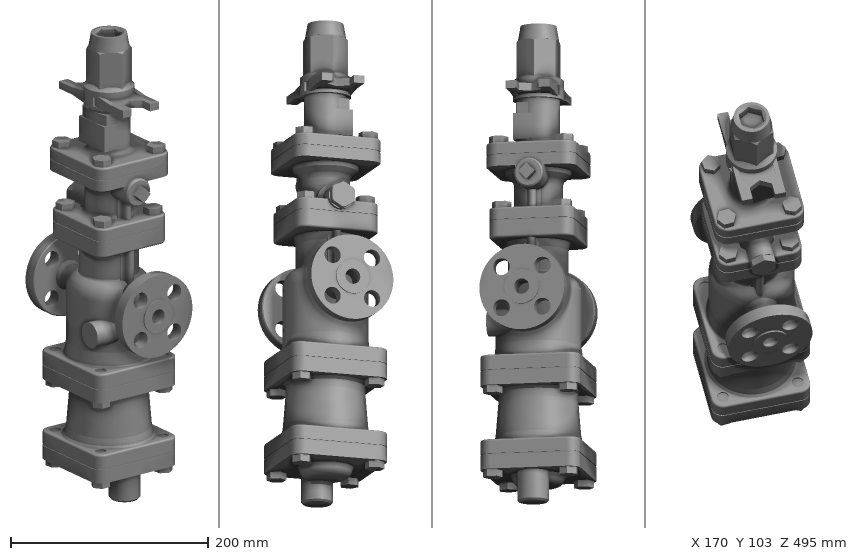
import cadquery as cq
import math

OVERALL_HEIGHT = 495.0
OVERALL_LENGTH = 170.0

JOINT_GAP = 1.0
JOINT_INSET = 1.0
FLANGE_EDGE = 2.0

CAP_SIDE, CAP_BOTTOM, CAP_SPLIT, CAP_TOP = 93.0, 344.5, 356.5, 369.5
CAP_CORNER = 13.5
CAP_BOLT = 34.0
PILOT_SIDE, PILOT_BOTTOM, PILOT_SPLIT, PILOT_TOP = 88.0, 271.5, 289.5, 302.5
PILOT_CORNER = 12.0
PILOT_BOLT = 31.5
BASE_SIDE = 103.0
BASE_CORNER = 12.0
BASE_BOLT = 39.0
BODY_BOTTOM, BODY_SPLIT, BODY_TOP = 118.5, 133.5, 149.5
TRAP_BOTTOM, TRAP_SPLIT, TRAP_TOP = 31.5, 47.0, 62.5

BOLT_HEAD_FLATS = 17.5
BOLT_HEAD_HEIGHT = 7.0
BOLT_HEAD_TURN = 5.0
BOLT_END_DIAMETER = 12.0
BOLT_END_DEPTH = 1.5

CAP_NECK_RADIUS = 24.8
PILOT_NECK_RADIUS = 30.5
BODY_RADIUS = 43.5
BODY_FOOT_RADIUS = 45.5
DOME_BOTTOM, DOME_TOP = 219.5, 236.5
ROOT_FILLET = 2.0
CAP_NECK_FOOT = 4.0
CAP_FLARE_BOTTOM = 329.5
CAP_CONE_BOTTOM_RADIUS, CAP_CONE_BOTTOM = 26.5, 335.0
CAP_CONE_TOP_RADIUS, CAP_CONE_TOP = 32.5, 340.5
CAP_FLARE_RADIUS = 34.0
PILOT_NECK_TOP = 263.5
BODY_FOOT_TOP = 164.5
TRAP_ROOT_RADIUS, TRAP_FOOT_BOTTOM, TRAP_FOOT_TOP = 48.0, 64.5, 72.0
TRAP_MIDDLE_RADIUS, TRAP_MIDDLE = 42.0, 89.0
TRAP_WAIST_RADIUS, TRAP_WAIST = 40.5, 107.5
TRAP_CHAMFER = 3.0
COVER_RADIUS, COVER_LIP_RADIUS, COVER_LIP = 28.5, 26.5, 27.5
COVER_KNEE_RADIUS, COVER_KNEE = 24.0, 23.0
COVER_FLOOR_RADIUS, COVER_FLOOR = 18.0, 20.5

PIPE_Z = 212.5
PIPE_FLANGE_DIAMETER = 88.0
PIPE_FLANGE_OUTER = 83.0
PIPE_FLANGE_INNER = 69.5
PIPE_FLANGE_EDGE = 1.0
RAISED_FACE_DIAMETER = 35.0
PIPE_BOLT_CIRCLE = 60.0
PIPE_BOLT_HOLE = 17.5
PIPE_BOLT_COUNT = 4
PIPE_BOLT_TURN = 45.0
PIPE_BORE = 16.0
PIPE_BORE_DEPTH = 24.8
PIPE_RADIUS = 13.5
PIPE_HUB_RADIUS = 16.0
PIPE_HUB_LENGTH = 4.5
INLET_BOSS_RADIUS = 14.0
INLET_BOSS_END = 51.5
INLET_FLARE_RADIUS = 17.0
INLET_FLARE_END = 46.5
INLET_FLARE_LENGTH = 6.0
ELBOW_START = 65.0
ELBOW_BEND_RADIUS = 21.5
ELBOW_ANGLE = 45.0
ELBOW_REACH = 7.5

SPINDLE_RADIUS = 22.0
SPINDLE_BLOCK_BOTTOM = 375.5
SPINDLE_BLOCK_TOP = 403.0
SPINDLE_REBATE_TOP = 414.5
SPINDLE_REBATE_DEPTH = 18.5
SPINDLE_REBATE_HALF_WIDTH = 21.0
SPINDLE_FOOT = 5.0
COLLAR_BOTTOM, COLLAR_LOWER_TOP, COLLAR_UPPER_BOTTOM, COLLAR_TOP = 418.5, 421.5, 431.5, 438.5
COLLAR_DIAMETER = 52.0
COLLAR_CORE_RADIUS = 23.0
COLLAR_CONE_TOP = 442.5
NUT_FLATS = 40.5
NUT_TOP = 479.5
NUT_BEVEL_HEIGHT = 2.0
CROWN_BOTTOM_DIAMETER = 42.0
CROWN_TOP_DIAMETER = 36.5
SOCKET_FLATS = 24.0
SOCKET_DEPTH = 11.5
SOCKET_MOUTH_RADIUS = 15.5
SOCKET_MOUTH_DEPTH = 2.0

HANDLE_LENGTH, HANDLE_WIDTH = 110.0, 45.5
HANDLE_BOTTOM, HANDLE_TOP = 422.5, 430.5
WRENCH_FLATS = 23.5
WRENCH_VERTEX = 34.5
RIB_START, RIB_END = 7.0, 32.0
RIB_RISE = 3.5
RIB_WIDTH = 5.0

PORT_DIAMETER = 26.0
PORT_Z, PORT_END = 305.0, 56.5
PORT_HEAD_FLATS = 24.0
PORT_HEAD_LENGTH = 8.0
PORT_HEAD_BEVEL = 1.0
PORT_FLARE_DIAMETER = 35.0
PLUG_BOSS_DIAMETER = 29.5
PLUG_Z, PLUG_BOSS_END, PLUG_END = 336.0, 51.5, 60.5
PLUG_SQUARE = 12.0
PLUG_BOSS_EDGE = 1.5
FRONT_BOSS_DIAMETER = 27.0
FRONT_BOSS_X, FRONT_BOSS_Z, FRONT_BOSS_END = 29.0, 185.5, 45.5
PASSAGE_NOSE = 4.0
PASSAGE_NECK = 1.5
PASSAGE_SPREAD = 4.0
PASSAGE_END = 40.0
UPPER_PASSAGE_END = 35.0

DRAIN_DIAMETER = 32.0
DRAIN_X = 26.5
DRAIN_EDGE = 2.0
DRAIN_WELD = 3.0


def disc(radius, bottom, top):
    return cq.Workplane("XY").workplane(offset=bottom).circle(radius).extrude(top - bottom)


def across_corners(flats):
    """Corner-to-corner size of a regular hexagon from its size across flats."""
    return 2 * flats / math.sqrt(3)


def hexagon(flats, bottom, top):
    """Hexagonal prism with two corners on the X axis."""
    return cq.Workplane("XY").workplane(offset=bottom).polygon(6, across_corners(flats)).extrude(top - bottom)


def box(x_range, y_range, z_range):
    spans = [high - low for low, high in (x_range, y_range, z_range)]
    return cq.Workplane("XY").box(*spans, centered=False).translate((x_range[0], y_range[0], z_range[0]))


def rod_along_x(radius, start, end, z):
    return cq.Workplane("YZ", origin=(start, 0, z)).circle(radius).extrude(end - start)


def turned(outline):
    """Revolve a closed (radius, z) outline about the Z axis."""
    return outline.close().revolve(360, (0, 0, 0), (0, 1, 0))


def cone(bottom_radius, top_radius, bottom, top):
    points = [(0, bottom), (bottom_radius, bottom), (top_radius, top), (0, top)]
    return turned(cq.Workplane("XZ").polyline(points))


def square_plate(side, corner, bottom, top):
    plate = cq.Workplane("XY").workplane(offset=bottom).rect(side, side).extrude(top - bottom)
    return plate.edges("|Z").fillet(corner)


def flange_joint(side, corner, bottom, split, top):
    """Two square flanges clamped on a thin gasket."""
    lower = square_plate(side, corner, bottom, split - JOINT_GAP / 2)
    upper = square_plate(side, corner, split + JOINT_GAP / 2, top).faces(">Z").edges().fillet(FLANGE_EDGE)
    gasket_side = side - 2 * JOINT_INSET
    gasket = square_plate(gasket_side, corner - JOINT_INSET, split - JOINT_GAP / 2, split + JOINT_GAP / 2)
    return lower.union(gasket).union(upper)


def four_around(seed):
    """Copies of a seed at quarter turns about the Z axis."""
    pattern = seed
    for quarter in range(1, 4):
        pattern = pattern.union(seed.rotate((0, 0, 0), (0, 0, 1), 90 * quarter))
    return pattern


def bolt_heads(offset, bottom):
    head = hexagon(BOLT_HEAD_FLATS, bottom, bottom + BOLT_HEAD_HEIGHT)
    head = head.rotate((0, 0, 0), (0, 0, 1), BOLT_HEAD_TURN)
    return four_around(head.translate((-offset, -offset, 0)))


def bolt_end_recesses(offset, top):
    recess = disc(BOLT_END_DIAMETER / 2, top - BOLT_END_DEPTH, top)
    return four_around(recess.translate((offset, offset, 0)))


def flanges():
    joints = flange_joint(CAP_SIDE, CAP_CORNER, CAP_BOTTOM, CAP_SPLIT, CAP_TOP)
    pilot = flange_joint(PILOT_SIDE, PILOT_CORNER, PILOT_BOTTOM, PILOT_SPLIT, PILOT_TOP)
    joints = joints.union(pilot.faces("<Z").edges().fillet(FLANGE_EDGE))
    joints = joints.union(bolt_heads(CAP_BOLT, CAP_TOP)).union(bolt_heads(PILOT_BOLT, PILOT_TOP))
    for bottom, split, top in ((BODY_BOTTOM, BODY_SPLIT, BODY_TOP), (TRAP_BOTTOM, TRAP_SPLIT, TRAP_TOP)):
        joint = flange_joint(BASE_SIDE, BASE_CORNER, bottom, split, top)
        joint = joint.cut(bolt_end_recesses(BASE_BOLT, top))
        joints = joints.union(joint).union(bolt_heads(BASE_BOLT, bottom - BOLT_HEAD_HEIGHT))
    return joints


def cap_neck():
    """Neck between the two upper joints, flaring out below the cap and at its foot."""
    foot = CAP_NECK_FOOT
    outline = (
        cq.Workplane("XZ")
        .moveTo(0, PILOT_TOP)
        .lineTo(CAP_NECK_RADIUS + foot, PILOT_TOP)
        .radiusArc((CAP_NECK_RADIUS, PILOT_TOP + foot), foot)
        .lineTo(CAP_NECK_RADIUS, CAP_FLARE_BOTTOM)
        .tangentArcPoint((CAP_CONE_BOTTOM_RADIUS, CAP_CONE_BOTTOM), relative=False)
        .lineTo(CAP_CONE_TOP_RADIUS, CAP_CONE_TOP)
        .lineTo(CAP_FLARE_RADIUS, CAP_BOTTOM)
        .lineTo(0, CAP_BOTTOM)
    )
    return turned(outline)


def main_body():
    """Domed body with a straight neck above and a slightly flared foot."""
    fillet = ROOT_FILLET
    dome_edge_radius = PILOT_NECK_RADIUS + fillet
    dome_width = BODY_RADIUS - dome_edge_radius
    dome_height = DOME_TOP - DOME_BOTTOM
    dome_radius = (dome_width**2 + dome_height**2) / (2 * dome_width)
    outline = (
        cq.Workplane("XZ")
        .moveTo(0, BODY_TOP)
        .lineTo(BODY_FOOT_RADIUS + fillet, BODY_TOP)
        .radiusArc((BODY_FOOT_RADIUS, BODY_TOP + fillet), fillet)
        .lineTo(BODY_RADIUS, BODY_FOOT_TOP)
        .lineTo(BODY_RADIUS, DOME_BOTTOM)
        .radiusArc((dome_edge_radius, DOME_TOP), -dome_radius)
        .radiusArc((PILOT_NECK_RADIUS, DOME_TOP + fillet), fillet)
        .lineTo(PILOT_NECK_RADIUS, PILOT_NECK_TOP)
        .lineTo(PILOT_NECK_RADIUS + fillet, PILOT_BOTTOM)
        .lineTo(0, PILOT_BOTTOM)
    )
    return turned(outline)


def trap_body():
    """Waisted barrel between the two lower joints."""
    outline = (
        cq.Workplane("XZ")
        .moveTo(0, TRAP_TOP)
        .lineTo(TRAP_ROOT_RADIUS, TRAP_TOP)
        .lineTo(BODY_FOOT_RADIUS, TRAP_FOOT_BOTTOM)
        .lineTo(BODY_RADIUS, TRAP_FOOT_TOP)
        .threePointArc((TRAP_MIDDLE_RADIUS, TRAP_MIDDLE), (TRAP_WAIST_RADIUS, TRAP_WAIST))
        .lineTo(TRAP_WAIST_RADIUS, BODY_BOTTOM - TRAP_CHAMFER)
        .lineTo(TRAP_WAIST_RADIUS + TRAP_CHAMFER, BODY_BOTTOM)
        .lineTo(0, BODY_BOTTOM)
    )
    return turned(outline)


def bottom_cover():
    """Shallow bowl under the lowest joint with an offset drain pipe."""
    outline = (
        cq.Workplane("XZ")
        .moveTo(0, TRAP_BOTTOM)
        .lineTo(COVER_RADIUS, TRAP_BOTTOM)
        .lineTo(COVER_LIP_RADIUS, COVER_LIP)
        .threePointArc((COVER_KNEE_RADIUS, COVER_KNEE), (COVER_FLOOR_RADIUS, COVER_FLOOR))
        .lineTo(0, COVER_FLOOR)
    )
    drain_radius = DRAIN_DIAMETER / 2
    drain = disc(drain_radius, 0, TRAP_BOTTOM).faces("<Z").edges().chamfer(DRAIN_EDGE)
    weld_bottom = COVER_FLOOR - DRAIN_WELD
    weld = cone(drain_radius, drain_radius + DRAIN_WELD, weld_bottom, COVER_FLOOR).translate((DRAIN_X, 0, 0))
    weld = weld.intersect(disc(COVER_FLOOR_RADIUS, weld_bottom, COVER_FLOOR))
    return turned(outline).union(drain.translate((DRAIN_X, 0, 0))).union(weld)


def spindle():
    """Round spindle whose front half is squared off, with a bowed rebate above the square."""
    foot = (
        cq.Workplane("XZ")
        .moveTo(0, CAP_TOP)
        .lineTo(SPINDLE_RADIUS + SPINDLE_FOOT, CAP_TOP)
        .radiusArc((SPINDLE_RADIUS, CAP_TOP + SPINDLE_FOOT), SPINDLE_FOOT)
        .lineTo(0, CAP_TOP + SPINDLE_FOOT)
    )
    across = (-SPINDLE_RADIUS, SPINDLE_RADIUS)
    block = box(across, (-SPINDLE_RADIUS, 0), (SPINDLE_BLOCK_BOTTOM, SPINDLE_BLOCK_TOP))
    half_width = SPINDLE_REBATE_HALF_WIDTH
    rebate = (
        cq.Workplane("XY")
        .workplane(offset=SPINDLE_BLOCK_TOP)
        .moveTo(-half_width, 0)
        .lineTo(-half_width, -SPINDLE_REBATE_DEPTH)
        .threePointArc((0, -SPINDLE_RADIUS), (half_width, -SPINDLE_REBATE_DEPTH))
        .lineTo(half_width, 0)
        .close()
        .extrude(SPINDLE_REBATE_TOP - SPINDLE_BLOCK_TOP)
    )
    shaft = disc(SPINDLE_RADIUS, CAP_TOP, COLLAR_BOTTOM)
    return shaft.union(turned(foot)).union(block).union(rebate)


def adjusting_nut():
    """Hex nut on a coned double collar, with a tapered crown and a hex socket."""
    collar_radius = COLLAR_DIAMETER / 2
    nut = disc(collar_radius, COLLAR_BOTTOM, COLLAR_LOWER_TOP)
    nut = nut.union(disc(COLLAR_CORE_RADIUS, COLLAR_LOWER_TOP, COLLAR_UPPER_BOTTOM))
    nut = nut.union(disc(collar_radius, COLLAR_UPPER_BOTTOM, COLLAR_TOP))
    nut = nut.union(cone(collar_radius, NUT_FLATS / 2, COLLAR_TOP, COLLAR_CONE_TOP))
    corner_radius = across_corners(NUT_FLATS) / 2
    bevel = cone(corner_radius, CROWN_BOTTOM_DIAMETER / 2, NUT_TOP - NUT_BEVEL_HEIGHT, NUT_TOP)
    bevel = bevel.union(disc(corner_radius, COLLAR_TOP, NUT_TOP - NUT_BEVEL_HEIGHT))
    nut = nut.union(hexagon(NUT_FLATS, COLLAR_TOP, NUT_TOP).intersect(bevel))
    nut = nut.union(cone(CROWN_BOTTOM_DIAMETER / 2, CROWN_TOP_DIAMETER / 2, NUT_TOP, OVERALL_HEIGHT))
    mouth_bottom = OVERALL_HEIGHT - SOCKET_MOUTH_DEPTH
    nut = nut.cut(cone(SOCKET_FLATS / 2, SOCKET_MOUTH_RADIUS, mouth_bottom, OVERALL_HEIGHT))
    return nut.cut(hexagon(SOCKET_FLATS, OVERALL_HEIGHT - SOCKET_DEPTH, OVERALL_HEIGHT))


def handle():
    """Double-ended wrench plate clamped round the nut collar."""
    half_length, half_width = HANDLE_LENGTH / 2, HANDLE_WIDTH / 2
    thickness = (HANDLE_BOTTOM, HANDLE_TOP)
    plate = box((-half_length, half_length), (-half_width, half_width), thickness)
    hex_centre = WRENCH_VERTEX + across_corners(WRENCH_FLATS) / 2
    for side in (-1, 1):
        opening = hexagon(WRENCH_FLATS, *thickness).translate((side * hex_centre, 0, 0))
        throat_ends = sorted((side * hex_centre, side * half_length))
        throat = box(throat_ends, (-WRENCH_FLATS / 2, WRENCH_FLATS / 2), thickness)
        plate = plate.cut(opening).cut(throat)

    rib_points = [
        (RIB_START, HANDLE_BOTTOM - RIB_RISE),
        (RIB_END, HANDLE_BOTTOM),
        (RIB_END, HANDLE_TOP),
        (RIB_START, HANDLE_TOP + RIB_RISE),
    ]
    rib = cq.Workplane("XZ", origin=(0, half_width, 0)).polyline(rib_points).close().extrude(RIB_WIDTH)
    ribs = rib.union(rib.mirror("XZ"))
    lug_y = (-COLLAR_DIAMETER / 2, COLLAR_DIAMETER / 2)
    lug = box((-RIB_START, RIB_START), lug_y, (COLLAR_BOTTOM, HANDLE_TOP + RIB_RISE))
    lug = lug.intersect(disc(COLLAR_DIAMETER / 2, COLLAR_BOTTOM, COLLAR_TOP))
    return plate.union(ribs).union(ribs.mirror("YZ")).union(lug)


def pipe_flange():
    """Round flange with a raised face and a hub, on the +X side."""
    flange = rod_along_x(PIPE_FLANGE_DIAMETER / 2, PIPE_FLANGE_INNER, PIPE_FLANGE_OUTER, PIPE_Z)
    flange = flange.faces("<X").edges().chamfer(PIPE_FLANGE_EDGE)
    face = rod_along_x(RAISED_FACE_DIAMETER / 2, PIPE_FLANGE_OUTER, OVERALL_LENGTH / 2, PIPE_Z)
    hub = (
        cq.Workplane("YZ", origin=(PIPE_FLANGE_INNER, 0, PIPE_Z))
        .circle(PIPE_HUB_RADIUS)
        .workplane(offset=-PIPE_HUB_LENGTH)
        .circle(PIPE_RADIUS)
        .loft()
    )
    holes = (
        cq.Workplane("YZ", origin=(PIPE_FLANGE_INNER, 0, PIPE_Z))
        .polarArray(PIPE_BOLT_CIRCLE / 2, PIPE_BOLT_TURN, 360, PIPE_BOLT_COUNT)
        .circle(PIPE_BOLT_HOLE / 2)
        .extrude(PIPE_FLANGE_OUTER - PIPE_FLANGE_INNER)
    )
    return flange.cut(holes).union(face).union(hub)


def inlet():
    pipe = rod_along_x(PIPE_RADIUS, 0, PIPE_FLANGE_INNER, PIPE_Z)
    boss = rod_along_x(INLET_BOSS_RADIUS, 0, INLET_BOSS_END, PIPE_Z)
    flare_plane = cq.Workplane("YZ", origin=(INLET_FLARE_END, 0, PIPE_Z))
    flare = flare_plane.circle(INLET_BOSS_RADIUS).workplane(offset=-INLET_FLARE_LENGTH)
    flare = flare.circle(INLET_FLARE_RADIUS).loft()
    return pipe_flange().union(pipe).union(boss).union(flare).mirror("YZ")


def outlet():
    """Pipe that leaves the dome downwards and bends level before its flange."""
    angle = math.radians(ELBOW_ANGLE)
    bend_x = ELBOW_START - ELBOW_BEND_RADIUS * math.sin(angle)
    bend_z = PIPE_Z + ELBOW_BEND_RADIUS * (1 - math.cos(angle))
    end_x = bend_x - ELBOW_REACH * math.cos(angle)
    end_z = bend_z + ELBOW_REACH * math.sin(angle)
    path = (
        cq.Workplane("XZ")
        .moveTo(PIPE_FLANGE_INNER, PIPE_Z)
        .lineTo(ELBOW_START, PIPE_Z)
        .radiusArc((bend_x, bend_z), ELBOW_BEND_RADIUS)
        .lineTo(end_x, end_z)
    )
    start = cq.Workplane("YZ", origin=(PIPE_FLANGE_INNER, 0, PIPE_Z))
    pipe = start.circle(PIPE_RADIUS).sweep(path)
    rounded_end = cq.Workplane("XY").sphere(PIPE_RADIUS).translate((end_x, 0, end_z))
    return pipe_flange().union(pipe).union(rounded_end)


def pipe_bores():
    bore = rod_along_x(PIPE_BORE / 2, OVERALL_LENGTH / 2 - PIPE_BORE_DEPTH, OVERALL_LENGTH / 2, PIPE_Z)
    return bore.union(bore.mirror("YZ"))


def side_ports():
    """Hex-headed port on -X, plugged boss hung from the cap on +X, round boss on the front of the body."""
    port_radius, flare_radius = PORT_DIAMETER / 2, PORT_FLARE_DIAMETER / 2
    port = rod_along_x(port_radius, PORT_HEAD_LENGTH - PORT_END, 0, PORT_Z)
    head_start = PORT_END - PORT_HEAD_LENGTH
    head_corner = across_corners(PORT_HEAD_FLATS) / 2
    head_round = disc(head_corner, head_start, PORT_END).faces(">Z").edges().chamfer(PORT_HEAD_BEVEL)
    head = hexagon(PORT_HEAD_FLATS, head_start, PORT_END).intersect(head_round)
    head = head.rotate((0, 0, 0), (0, 1, 0), -90).translate((0, 0, PORT_Z))
    flare_height = flare_radius - port_radius
    flare = cone(flare_radius, port_radius, CAP_NECK_RADIUS, CAP_NECK_RADIUS + flare_height)
    flare = flare.union(disc(flare_radius, 0, CAP_NECK_RADIUS))
    flare = flare.rotate((0, 0, 0), (0, 1, 0), -90).translate((0, 0, PORT_Z))
    boss = rod_along_x(PLUG_BOSS_DIAMETER / 2, 0, PLUG_BOSS_END, PLUG_Z).faces(">X").chamfer(PLUG_BOSS_EDGE)
    web_half_width = PLUG_BOSS_DIAMETER / 2
    web = box((0, CAP_SIDE / 2), (-web_half_width, web_half_width), (PLUG_Z, CAP_BOTTOM))
    plug_plane = cq.Workplane("YZ", origin=(PLUG_BOSS_END, 0, PLUG_Z))
    plug = plug_plane.polygon(4, PLUG_SQUARE * math.sqrt(2)).extrude(PLUG_END - PLUG_BOSS_END)
    front = cq.Workplane("XZ", origin=(FRONT_BOSS_X, 0, FRONT_BOSS_Z))
    front_boss = front.circle(FRONT_BOSS_DIAMETER / 2).extrude(FRONT_BOSS_END)
    return port.union(head).union(flare).union(boss).union(web).union(plug).union(front_boss)


def passage(end, bottom, top):
    """Round-nosed vertical rib reaching out along +X, spreading at its root."""
    nose_x = end - PASSAGE_NOSE
    spread_x = nose_x - PASSAGE_NECK
    root_x = spread_x - PASSAGE_SPREAD
    root_y = PASSAGE_NOSE + PASSAGE_SPREAD
    outline = (
        cq.Workplane("XY")
        .workplane(offset=bottom)
        .moveTo(0, -root_y)
        .lineTo(root_x, -root_y)
        .radiusArc((spread_x, -PASSAGE_NOSE), PASSAGE_SPREAD)
        .lineTo(nose_x, -PASSAGE_NOSE)
        .threePointArc((end, 0), (nose_x, PASSAGE_NOSE))
        .lineTo(spread_x, PASSAGE_NOSE)
        .radiusArc((root_x, root_y), PASSAGE_SPREAD)
        .lineTo(0, root_y)
    )
    return outline.close().extrude(top - bottom)


def passages():
    lower = passage(PASSAGE_END, DOME_BOTTOM, PILOT_BOTTOM)
    upper = passage(UPPER_PASSAGE_END, PILOT_TOP, PLUG_Z)
    return lower.union(lower.mirror("YZ")).union(upper)


result = flanges()
for section in (
    cap_neck(),
    main_body(),
    trap_body(),
    bottom_cover(),
    spindle(),
    adjusting_nut(),
    handle(),
    inlet(),
    outlet(),
    side_ports(),
    passages(),
):
    result = result.union(section)
result = result.cut(pipe_bores())